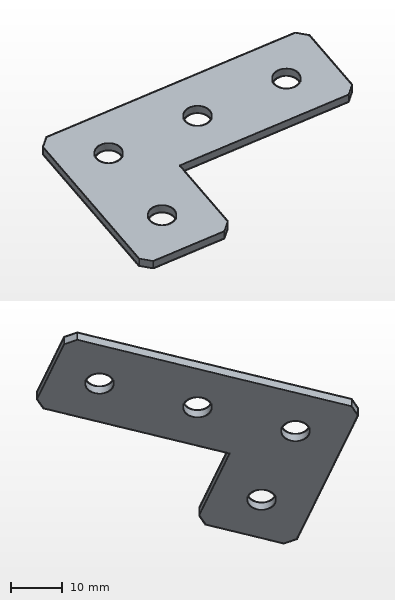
import cadquery as cq

length = 60.0
cells_along_length = 3
cells_along_foot = 2
cell = length / cells_along_length
foot_length = cells_along_foot * cell
thickness = cell / 10
corner_chamfer = cell / 10
hole_diameter = 5.5


def make_plate():
    """L-shaped plate with every outer corner chamfered and the inner corner sharp."""
    leg = cq.Workplane("XY").box(cell, length, thickness, centered=False)
    foot = cq.Workplane("XY").box(foot_length, cell, thickness, centered=False)
    inner_corner = cq.selectors.NearestToPointSelector((cell, cell, thickness / 2))
    vertical_edges = cq.selectors.StringSyntaxSelector("|Z")
    return leg.union(foot).clean().edges(vertical_edges - inner_corner).chamfer(corner_chamfer)


def hole_centers():
    """Cell centres along the leg, then those along the rest of the foot."""
    leg_centers = [(cell / 2, (i + 0.5) * cell) for i in range(cells_along_length)]
    foot_centers = [((i + 0.5) * cell, cell / 2) for i in range(1, cells_along_foot)]
    return leg_centers + foot_centers


holes = cq.Workplane("XY").pushPoints(hole_centers()).circle(hole_diameter / 2).extrude(thickness)
result = make_plate().cut(holes)